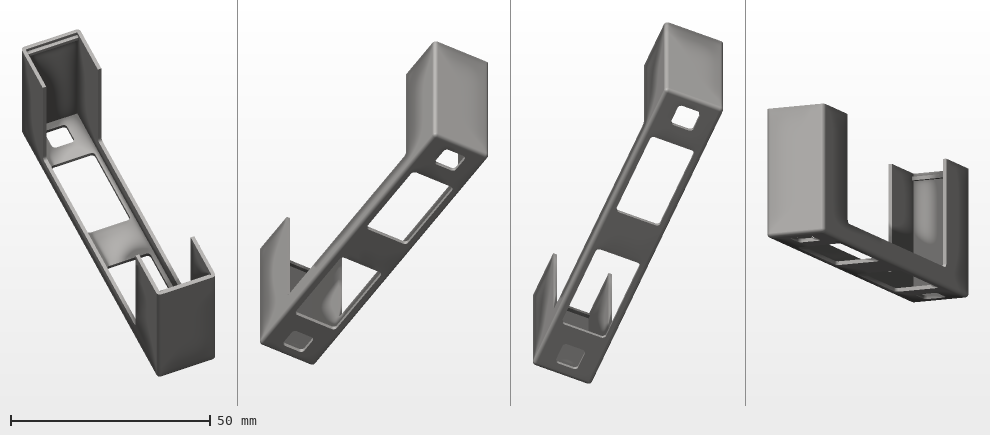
import cadquery as cq

length = 87.5
width = 16.0
height = 33.0
wall = 1.0
edge_radius = 1.0
inner_length = length - 2 * wall
inner_width = width - 2 * wall

cutout_length = 59.2
cutout_floor = 5.0

window_length = 23.7
window_width = 11.9
window_offset = (cutout_length - window_length) / 2
small_hole_side = 6.0
small_hole_offset = 37.7
opening_radius = 1.0

rib_depth = 1.0
rib_height = 1.0
rib_top_gap = 1.0


def make_tray():
    """Open-topped box with rounded outer corners and bottom edges."""
    outer = cq.Workplane("XY").box(length, width, height, centered=(True, True, False))
    outer = outer.edges("|Z or <Z").fillet(edge_radius)
    cavity = (
        cq.Workplane("XY")
        .workplane(offset=wall)
        .box(inner_length, inner_width, height, centered=(True, True, False))
    )
    return outer.cut(cavity)


def make_side_cutout():
    """Block that opens both long walls, with rounded lower corners."""
    return (
        cq.Workplane("XY")
        .workplane(offset=cutout_floor)
        .box(cutout_length, 2 * width, height, centered=(True, True, False))
        .edges("|Y and <Z")
        .fillet(opening_radius)
    )


def make_floor_opening(x_centre, size_x, size_y):
    """Rounded rectangular cutter through the floor."""
    return (
        cq.Workplane("XY")
        .center(x_centre, 0)
        .rect(size_x, size_y)
        .extrude(wall)
        .edges("|Z")
        .fillet(opening_radius)
    )


def make_rib(side):
    """Rib on the end wall at the given side (-1 or 1), joined to both long walls."""
    x_centre = side * (inner_length - rib_depth) / 2
    z_centre = height - rib_top_gap - rib_height / 2
    return cq.Workplane("XY").box(rib_depth, inner_width, rib_height).translate((x_centre, 0, z_centre))


result = make_tray().cut(make_side_cutout())
for side in (-1, 1):
    result = result.cut(make_floor_opening(side * window_offset, window_length, window_width))
    result = result.cut(make_floor_opening(side * small_hole_offset, small_hole_side, small_hole_side))
    result = result.union(make_rib(side))